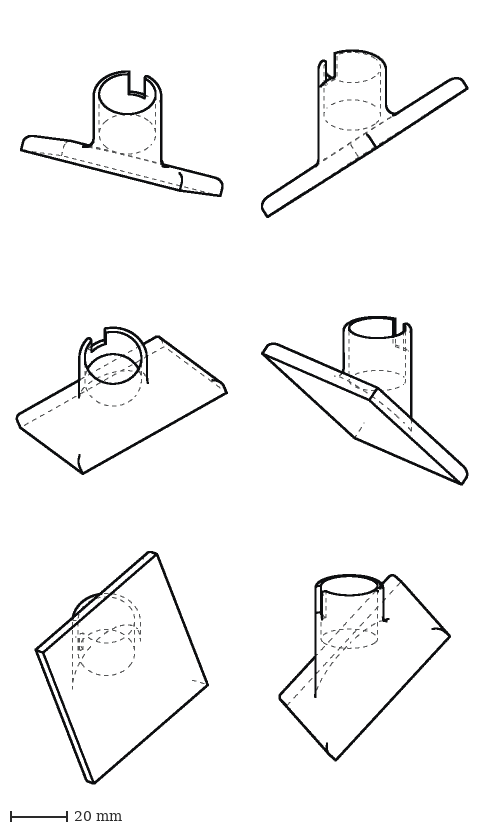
import cadquery as cq
import math

plate_side = 60.0
plate_thickness = 6.0
plate_edge_radius = 3.0
tilt_angle = 45.0

post_diameter = 24.1
post_top = 54.1
low_edge_y = 14.1
root_fillet_radius = 3.0

socket_diameter = 20.1
socket_depth = 20.0
slot_width = 6.0
slot_depth = 10.0
rim_radius = 1.0


def tilted(shape):
    """Move a shape from flat plate coordinates to the tilted plate position."""
    return shape.rotate((0, 0, 0), (1, 0, 0), -tilt_angle).translate((0, low_edge_y, 0))


def make_plate():
    """Plate with its upper edges rounded and its low edge along the X axis."""
    flat = (
        cq.Workplane("XY")
        .box(plate_side, plate_side, plate_thickness, centered=(True, False, False))
        .translate((0, -plate_side, 0))
        .faces(">Z")
        .edges()
        .fillet(plate_edge_radius)
    )
    return tilted(flat)


def make_post():
    """Solid post cut off flush with the underside of the plate."""
    post = cq.Workplane("XY").circle(post_diameter / 2).extrude(post_top)
    clearance = 2 * plate_side
    below_plate = (
        cq.Workplane("XY")
        .box(clearance, clearance, clearance)
        .translate((0, -plate_side / 2, -clearance / 2))
    )
    return post.cut(tilted(below_plate))


def fillet_post_root(body):
    """Blend the post into the upper face of the plate."""
    tilt = math.radians(tilt_angle)
    plate_top_offset = plate_thickness / math.cos(tilt)
    axis_height = low_edge_y * math.tan(tilt) + plate_top_offset
    root_edge = cq.NearestToPointSelector((0, 0, axis_height))
    return body.edges("%ELLIPSE").edges(root_edge).fillet(root_fillet_radius)


def cut_socket(body):
    """Bore the blind socket and open its wall with the slot."""
    socket = (
        cq.Workplane("XY", origin=(0, 0, post_top))
        .circle(socket_diameter / 2)
        .extrude(-socket_depth)
    )
    slot = (
        cq.Workplane("XY", origin=(0, 0, post_top - slot_depth))
        .box(slot_width, post_diameter, slot_depth, centered=(True, False, False))
    )
    return body.cut(socket).cut(slot)


def round_rim(body):
    """Round the outer edge of the rim, continuing around the slot."""
    margin = 0.05
    mid_wall = (post_diameter + socket_diameter) / 4
    slot_bottom = post_top - slot_depth

    def is_outer_rim(edge):
        samples = [edge.positionAt(t) for t in (0, 0.5, 1)]
        radii = [math.hypot(p.x, p.y) for p in samples]
        on_post_surface = min(radii) > mid_wall and max(radii) < post_diameter / 2 + margin
        return on_post_surface and min(p.z for p in samples) > slot_bottom - margin

    rim_edges = [edge for edge in body.edges().vals() if is_outer_rim(edge)]
    return body.newObject(rim_edges).fillet(rim_radius)


body = make_plate().union(make_post())
body = fillet_post_root(body)
body = cut_socket(body)
result = round_rim(body)